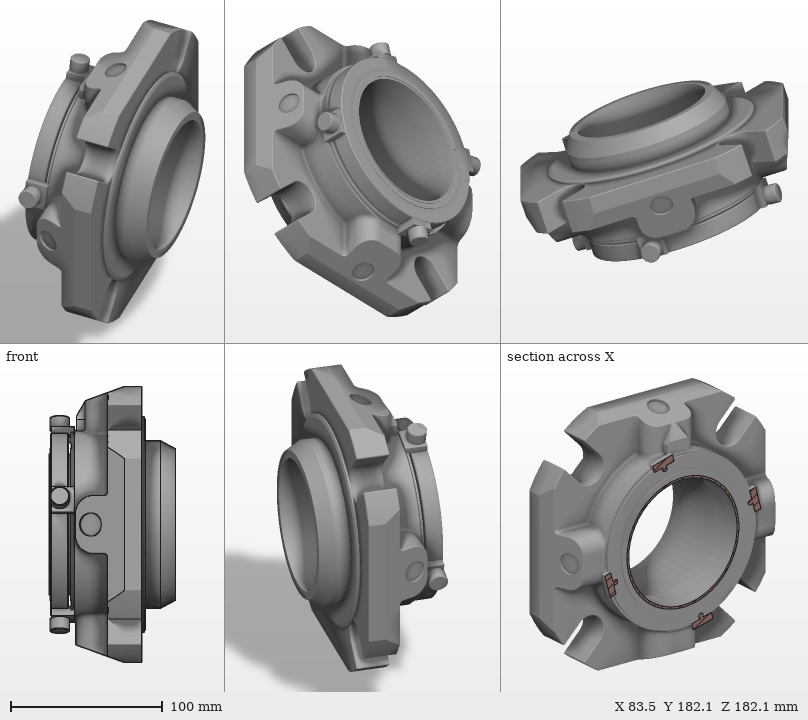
import cadquery as cq
import math

sleeve_end = 0.0
ring_front = 0.5
collar_front = 1.1
collar_back = 12.7
spigot_front = 14.0
neck_front = 14.5
neck_back = 15.8
gland_front = 17.0
boss_front = 17.5
label_boss_front = 23.9
plate_front = 38.6
taper_end = 49.7
plate_back = 61.4
gasket_back = 63.5
tail_shoulder = 73.4
tail_end = 83.5

bore_radius = 88.9 / 2
bore_mouth_radius = 92.0 / 2
bore_mouth_depth = 0.5
sleeve_radius = 92.7 / 2
ring_radius = 100.0 / 2
collar_radius = 120.5 / 2
collar_chamfer = 0.5
neck_radius = 122.2 / 2
neck_groove_radius = 59.7
gland_radius = 62.3
gasket_radius = 142.6 / 2
gasket_back_radius = 138.0 / 2
gasket_bevel = 1.0
tail_radius = 110.7 / 2
tail_end_radius = 100.0 / 2

plate_width = 182.1
half_width = plate_width / 2
corner_radius = 100.9
taper_angle = 20.0
taper_slope = math.tan(math.radians(taper_angle))
slot_width = 22.8
slot_centre_radius = 82.0
plate_edge_round = 0.7
slot_tip_round = 1.0
plate_back_chamfer = 0.5

boss_half_width = 19.1
boss_foot_radius = 2.5
boss_flat = 7.3
label_boss_flat = 10.0
gland_fillet = 2.4
recess_diameter = 15.3
recess_depth = 1.8
recess_station_y = 27.3
recess_station_z = 40.5

ring_gap_angle = 20.0
clip_angle = -15.0
clip_front = 1.6
clip_back = 16.8
clip_width = 17.1
clip_base = 59.2
clip_top = 64.5
screw_station = 7.1
screw_diameter = 13.0
screw_top = 72.8
screw_chamfer = 0.5
dowel_diameter = 4.0
dowel_radius = 57.5

label_front = 18.0
label_half_width = 8.7
label_tip_half_width = 1.5
label_shoulder = 69.2
label_brow = 71.4
label_tip = 81.4
label_base = 60.1

quarter_turns = [0, 90, 180, 270]
tolerance = 0.002


def turn(shape, angle):
    """Rotate a shape about the X axis."""
    return shape.rotate((0, 0, 0), (1, 0, 0), angle)


def revolve(profile):
    """Revolve an (axial, radial) profile about the X axis."""
    return cq.Workplane("XY").polyline(profile).close().revolve(360, (0, 0, 0), (1, 0, 0))


def disc(front, back, radius):
    """Solid round bar along X."""
    return cq.Workplane("YZ", origin=(front, 0, 0)).circle(radius).extrude(back - front)


def boss(front, flat):
    """Rounded boss on the +Z side, blended into the plate face by concave feet."""
    round_radius = boss_half_width - flat
    foot_outer = boss_half_width + boss_foot_radius
    foot_start = plate_front - boss_foot_radius
    diagonal = math.sqrt(0.5)
    nose_x = front + round_radius * (1 - diagonal)
    nose_y = flat + round_radius * diagonal
    foot_x = plate_front - boss_foot_radius * (1 - diagonal)
    foot_y = foot_outer - boss_foot_radius * diagonal
    outline = (
        cq.Workplane("XY")
        .moveTo(front, -flat)
        .lineTo(front, flat)
        .threePointArc((nose_x, nose_y), (front + round_radius, boss_half_width))
        .lineTo(foot_start, boss_half_width)
        .threePointArc((foot_x, foot_y), (plate_front, foot_outer))
        .lineTo(taper_end, foot_outer)
        .lineTo(taper_end, -foot_outer)
        .lineTo(plate_front, -foot_outer)
        .threePointArc((foot_x, -foot_y), (foot_start, -boss_half_width))
        .lineTo(front + round_radius, -boss_half_width)
        .threePointArc((nose_x, -nose_y), (front, -flat))
        .close()
    )
    return outline.extrude(half_width)


def taper_height(station):
    """Distance from the X axis to the tapered sides at an axial station."""
    return half_width - (taper_end - station) * taper_slope


def tapered_envelope():
    """Square bar whose four sides taper inwards towards the front."""
    front_half = taper_height(sleeve_end)
    profile = [
        (sleeve_end, -front_half),
        (taper_end, -half_width),
        (plate_back, -half_width),
        (plate_back, half_width),
        (taper_end, half_width),
        (sleeve_end, front_half),
    ]
    along_y = cq.Workplane("XZ").polyline(profile).close().extrude(half_width, both=True)
    along_z = cq.Workplane("XY").polyline(profile).close().extrude(half_width, both=True)
    return along_y.intersect(along_z)


def slot(angle):
    """Open-ended bolt slot running radially out of a plate corner."""
    reach = corner_radius + slot_width
    cutter = (
        cq.Workplane("YZ", origin=(plate_front, 0, 0))
        .center(0, slot_centre_radius)
        .circle(slot_width / 2)
        .extrude(plate_back - plate_front)
    )
    channel = cq.Workplane("XY").box(
        plate_back - plate_front, slot_width, reach - slot_centre_radius, centered=(False, True, False)
    ).translate((plate_front, 0, slot_centre_radius))
    return turn(cutter.union(channel), angle)


def recess(station, angle):
    """Shallow round recess, square to a tapered side, centred at an axial station."""
    cutter = (
        cq.Workplane("XY")
        .circle(recess_diameter / 2)
        .extrude(recess_depth, both=True)
        .rotate((0, 0, 0), (0, 1, 0), -taper_angle)
        .translate((station, 0, taper_height(station)))
    )
    return turn(cutter, angle)


def mid_radius(edge):
    """Distance of an edge's midpoint from the X axis."""
    point = edge.positionAt(0.5)
    return math.hypot(point.y, point.z)


def is_slot_tip(edge):
    """True for the axial edges where a slot breaks out of the plate corner."""
    point = edge.positionAt(0.5)
    in_corner = min(abs(point.y), abs(point.z)) > slot_centre_radius / 2
    return in_corner and abs(mid_radius(edge) - corner_radius) < tolerance


def is_front_rim(edge):
    """True for edges bounding the front of a tapered side, a plate corner or a slot."""
    start, middle, end = (edge.positionAt(t) for t in (0.25, 0.5, 0.75))
    if middle.x > plate_front + tolerance:
        return False
    on_taper = all(
        abs(max(abs(p.y), abs(p.z)) - taper_height(p.x)) < tolerance for p in (start, middle, end)
    )
    on_plate_front = min(start.x, middle.x, end.x) > plate_front - tolerance
    in_corner = min(abs(middle.y), abs(middle.z)) > boss_half_width + boss_foot_radius + tolerance
    clear_of_gland = mid_radius(edge) > gland_radius + tolerance
    return on_taper or (on_plate_front and in_corner and clear_of_gland)


def is_gland_foot(edge):
    """True for edges where the gland body meets the bosses and the plate."""
    on_gland = all(
        abs(math.hypot(p.y, p.z) - gland_radius) < tolerance
        for p in (edge.positionAt(t) for t in (0.25, 0.5, 0.75))
    )
    return on_gland and gland_front < edge.positionAt(0.5).x < plate_back - tolerance


def is_plate_back_rim(edge):
    """True for the outline of the plate's back face."""
    return edge.positionAt(0.5).x > plate_back - tolerance


def housing():
    """Flange plate with its bosses, slots and the filleted gland body."""
    body = disc(plate_front, plate_back, corner_radius)
    body = body.union(boss(label_boss_front, label_boss_flat))
    for angle in quarter_turns[1:]:
        body = body.union(turn(boss(boss_front, boss_flat), angle))
    body = body.intersect(tapered_envelope())
    for angle in quarter_turns:
        body = body.cut(slot(angle + 45))
    body = body.newObject([e for e in body.edges("|X").vals() if is_slot_tip(e)]).fillet(slot_tip_round)

    body = body.union(disc(sleeve_end, plate_back, gland_radius))
    solid = body.val()
    solid = solid.fillet(plate_edge_round, [e for e in solid.Edges() if is_front_rim(e)])
    solid = solid.fillet(gland_fillet, [e for e in solid.Edges() if is_gland_foot(e)])
    back_rim = [e for e in solid.Edges() if is_plate_back_rim(e)]
    solid = solid.chamfer(plate_back_chamfer, None, back_rim)
    return cq.Workplane(solid).cut(disc(sleeve_end, gland_front, corner_radius))


def clip():
    """Setting clip on the +Z side, with its cap screw and locating dowel."""
    block = cq.Workplane("XY").box(
        clip_back - clip_front, clip_width, clip_top - clip_base, centered=(False, True, False)
    ).translate((clip_front, 0, clip_base))
    screw = (
        cq.Workplane("XY", origin=(screw_station, 0, clip_top))
        .circle(screw_diameter / 2)
        .extrude(screw_top - clip_top)
        .faces(">Z")
        .chamfer(screw_chamfer)
    )
    dowel = disc(screw_station, boss_front, dowel_diameter / 2).translate((0, 0, dowel_radius))
    return block.union(screw).union(dowel)


def label_wedge():
    """Pointed label pad whose face slopes back towards its tip."""
    outline = (
        cq.Workplane("YZ", origin=(label_front, 0, 0))
        .polyline([
            (-label_half_width, label_base),
            (label_half_width, label_base),
            (label_half_width, label_shoulder),
            (label_tip_half_width, label_tip),
            (-label_tip_half_width, label_tip),
            (-label_half_width, label_shoulder),
        ])
        .close()
        .extrude(plate_front - label_front)
    )
    side = (
        cq.Workplane("XZ")
        .polyline([
            (label_front, label_base),
            (label_front, label_brow),
            (label_boss_front, label_tip),
            (plate_front, label_tip),
            (plate_front, label_base),
        ])
        .close()
        .extrude(label_half_width, both=True)
    )
    return outline.intersect(side)


def retaining_ring():
    """Split ring standing proud of the collar, open over a short arc on the -Y side."""
    ring = disc(ring_front, collar_back, ring_radius)
    reach = 2 * ring_radius
    opening = (
        cq.Workplane("YZ", origin=(ring_front, 0, 0))
        .polyline([
            (0, 0),
            (-reach, 0),
            (-reach, reach * math.tan(math.radians(ring_gap_angle))),
        ])
        .close()
        .extrude(collar_front - ring_front)
    )
    return ring.cut(opening)


turned_core = revolve([
    (sleeve_end, 0),
    (sleeve_end, sleeve_radius),
    (collar_front, sleeve_radius),
    (collar_front, collar_radius - collar_chamfer),
    (collar_front + collar_chamfer, collar_radius),
    (collar_back - collar_chamfer, collar_radius),
    (collar_back, collar_radius - collar_chamfer),
    (collar_back, sleeve_radius),
    (spigot_front, sleeve_radius),
    (spigot_front, ring_radius),
    (neck_front, ring_radius),
    (neck_front, neck_radius),
    (neck_back, neck_radius),
    (neck_back, neck_groove_radius),
    (plate_back, neck_groove_radius),
    (plate_back, gasket_radius),
    (gasket_back - gasket_bevel, gasket_radius),
    (gasket_back, gasket_back_radius),
    (gasket_back, tail_radius),
    (tail_shoulder, tail_radius),
    (tail_end, tail_end_radius),
    (tail_end, 0),
])

bore = disc(sleeve_end, tail_end, bore_radius)
bore = bore.union(disc(sleeve_end, bore_mouth_depth, bore_mouth_radius))

result = housing()
for angle in quarter_turns:
    recess_station = recess_station_z if angle % 180 == 0 else recess_station_y
    result = result.cut(recess(recess_station, angle))
result = result.union(turned_core).union(retaining_ring()).union(label_wedge())
for angle in quarter_turns:
    result = result.union(turn(clip(), angle + clip_angle))
result = result.cut(bore)